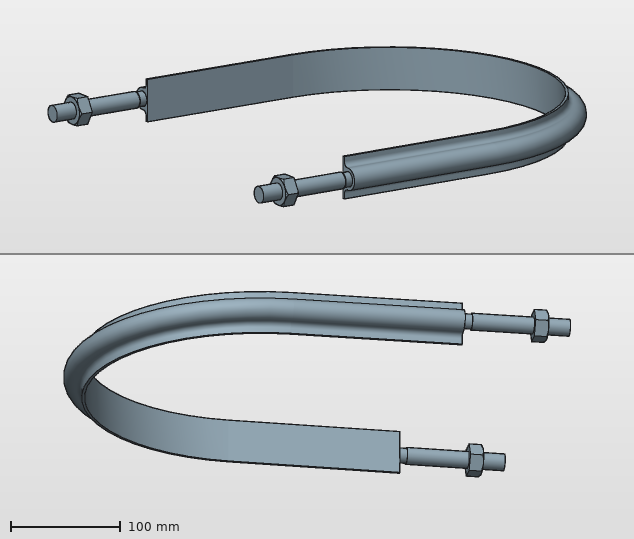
import cadquery as cq
import math

OVERALL_LENGTH = 434.8
BEND_RADIUS = 169.0
LEG_SPLAY_DEG = 0.3

ROD_DIAMETER = 14.0
THREAD_DIAMETER = 15.5
THREAD_LENGTH = 90.5

SADDLE_END = 98.0
SADDLE_WIDTH = 40.0
SADDLE_BORE = 14.5
SLEEVE_RADIUS = 10.5
INNER_FACE_DEPTH = 8.5
FLANGE_THICKNESS = 2.5
BLEND_RADIUS = 4.8

NUT_ACROSS_CORNERS = 30.0
NUT_THICKNESS = 12.5
NUT_POSITION = 21.0
NUT_CHAMFER_RISE = 1.5
NUT_FACE_DIAMETER = 25.5
RIGHT, LEFT = 1, -1

splay = math.radians(LEG_SPLAY_DEG)
bend_center_y = OVERALL_LENGTH - SLEEVE_RADIUS - BEND_RADIUS
tip_x = (BEND_RADIUS + bend_center_y * math.sin(splay)) / math.cos(splay)
bend_start_x = BEND_RADIUS * math.cos(splay)
bend_start_y = bend_center_y + BEND_RADIUS * math.sin(splay)


def leg_point(side, distance):
    """Point (x, y) on a leg's centreline, measured from the rod tip."""
    return (side * (tip_x - distance * math.sin(splay)), distance * math.cos(splay))


def leg_workplane(side, distance):
    """Plane across a leg: local x points outward, the normal toward the bend."""
    x, y = leg_point(side, distance)
    return cq.Workplane(cq.Plane(
        origin=(x, y, 0),
        xDir=(side * math.cos(splay), math.sin(splay), 0),
        normal=(-side * math.sin(splay), math.cos(splay), 0),
    ))


def centreline(end_distance):
    """U-shaped path that starts and ends at a given distance from the rod tips."""
    return (
        cq.Workplane("XY")
        .moveTo(*leg_point(RIGHT, end_distance))
        .lineTo(bend_start_x, bend_start_y)
        .threePointArc((0, bend_center_y + BEND_RADIUS), (-bend_start_x, bend_start_y))
        .lineTo(*leg_point(LEFT, end_distance))
    )


def make_rod():
    rod = (
        leg_workplane(RIGHT, THREAD_LENGTH)
        .circle(ROD_DIAMETER / 2)
        .sweep(centreline(THREAD_LENGTH))
    )
    for side in (RIGHT, LEFT):
        threaded_end = leg_workplane(side, 0).circle(THREAD_DIAMETER / 2).extrude(THREAD_LENGTH)
        rod = rod.union(threaded_end)
    return rod.solids()


def make_saddle():
    half_width = SADDLE_WIDTH / 2
    flange_outer = FLANGE_THICKNESS - INNER_FACE_DEPTH

    blend_center_x = flange_outer + BLEND_RADIUS
    center_distance = SLEEVE_RADIUS + BLEND_RADIUS
    blend_center_y = math.sqrt(center_distance**2 - blend_center_x**2)
    sleeve_ratio = SLEEVE_RADIUS / center_distance
    touch_x = blend_center_x * sleeve_ratio
    touch_y = blend_center_y * sleeve_ratio

    profile = (
        leg_workplane(RIGHT, SADDLE_END)
        .moveTo(-INNER_FACE_DEPTH, -half_width)
        .lineTo(flange_outer, -half_width)
        .lineTo(flange_outer, -blend_center_y)
        .radiusArc((touch_x, -touch_y), BLEND_RADIUS)
        .threePointArc((SLEEVE_RADIUS, 0), (touch_x, touch_y))
        .radiusArc((flange_outer, blend_center_y), BLEND_RADIUS)
        .lineTo(flange_outer, half_width)
        .lineTo(-INNER_FACE_DEPTH, half_width)
        .close()
    )
    bore = (
        leg_workplane(RIGHT, SADDLE_END)
        .circle(SADDLE_BORE / 2)
        .sweep(centreline(SADDLE_END))
    )
    return profile.sweep(centreline(SADDLE_END)).cut(bore).solids()


def make_nut(side):
    blank = leg_workplane(side, NUT_POSITION).polygon(6, NUT_ACROSS_CORNERS).extrude(NUT_THICKNESS)

    envelope = (
        leg_workplane(side, NUT_POSITION)
        .circle(NUT_FACE_DIAMETER / 2)
        .workplane(offset=NUT_CHAMFER_RISE)
        .circle(NUT_ACROSS_CORNERS / 2)
        .loft()
    )
    straight_part = (
        leg_workplane(side, NUT_POSITION + NUT_CHAMFER_RISE)
        .circle(NUT_ACROSS_CORNERS / 2)
        .extrude(NUT_THICKNESS - NUT_CHAMFER_RISE)
    )
    hole = leg_workplane(side, NUT_POSITION).circle(THREAD_DIAMETER / 2).extrude(NUT_THICKNESS)
    return blank.intersect(envelope.union(straight_part)).cut(hole).solids()


rod = make_rod()
saddle = make_saddle()
nuts = [make_nut(side) for side in (RIGHT, LEFT)]

result = cq.Compound.makeCompound([rod.val(), saddle.val(), *[nut.val() for nut in nuts]])